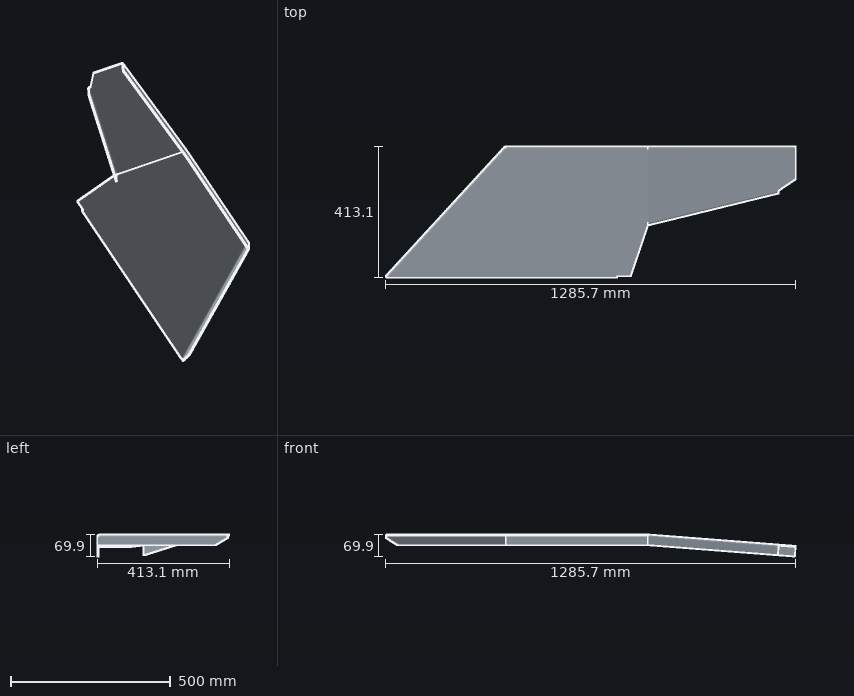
import cadquery as cq
import math

length = 1285.66
width = 413.11
height = 69.86

sheet = 4.0
bend_radius = 8.0
overrun = 100.0

back_length = 448.0
slant_angle = math.radians(47.43)
fold_width = 249.0
tail_x = -54.0
step_x = -96.5
step_depth = 4.7

end_cut_start = 11.0
end_cut_run = 53.0

tilt = math.radians(4.43)
wing_front_angle = math.radians(13.7)
tip_width = 104.0
tip_cut_length = 55.0

back_outward = (0.0, 1.0)
slant_along = (math.cos(slant_angle), math.sin(slant_angle))
slant_outward = (-slant_along[1], slant_along[0])
wing_along = (math.cos(wing_front_angle), math.sin(wing_front_angle))
wing_outward = (wing_along[1], -wing_along[0])


def shift(point, direction, distance):
    """Point moved a distance along a direction."""
    return (point[0] + direction[0] * distance, point[1] + direction[1] * distance)


def point_at_x(point, direction, x):
    """Point at a given X on the line through a point along a direction."""
    return (x, point[1] + (x - point[0]) * direction[1] / direction[0])


def point_at_y(point, direction, y):
    """Point at a given Y on the line through a point along a direction."""
    return (point[0] + (y - point[1]) * direction[0] / direction[1], y)


back_corner = (-back_length, 0.0)
bend_line_end = point_at_y(shift(back_corner, slant_outward, -bend_radius), slant_along, -width)
slant_end = shift(bend_line_end, slant_outward, bend_radius)

wing_reach = length + slant_end[0]
wing_length = wing_reach / math.cos(tilt)
flange_depth = (height - wing_reach * math.tan(tilt)) / math.cos(tilt)


def rounded_block(edge_point, outward, radius, top):
    """Large block with one straight side, rounded along the top of that side."""
    reach = 2 * length
    plane = cq.Plane(
        origin=(edge_point[0], edge_point[1], top),
        xDir=(outward[0], outward[1], 0.0),
        normal=(outward[1], -outward[0], 0.0),
    )
    return (
        cq.Workplane(plane)
        .moveTo(-reach, 0.0)
        .lineTo(-radius, 0.0)
        .radiusArc((0.0, -radius), radius)
        .lineTo(0.0, -reach)
        .lineTo(-reach, -reach)
        .close()
        .extrude(reach, both=True)
    )


def bent_shell(outline, bent_sides):
    """Sheet over an outline, bent down into a flange along the given sides."""
    body = cq.Workplane("XY").polyline(outline).close().extrude(-flange_depth)
    space = None
    for edge_point, outward in bent_sides:
        body = body.intersect(rounded_block(edge_point, outward, bend_radius, 0.0))
        inner_point = shift(edge_point, outward, -sheet)
        inside = rounded_block(inner_point, outward, bend_radius - sheet, -sheet)
        space = inside if space is None else space.intersect(inside)
    return body.cut(space)


def flange_end_cut():
    """Wedge that takes off the lower front corner of the slanted flange."""
    profile = [
        (-overrun, -end_cut_start),
        (0.0, -end_cut_start),
        (end_cut_run, -flange_depth),
        (end_cut_run, -flange_depth - overrun),
        (-overrun, -flange_depth - overrun),
    ]
    plane = cq.Plane(
        origin=(slant_end[0], slant_end[1], 0.0),
        xDir=(slant_along[0], slant_along[1], 0.0),
        normal=(-slant_outward[0], -slant_outward[1], 0.0),
    )
    return cq.Workplane(plane).polyline(profile).close().extrude(overrun, both=True)


def main_panel():
    """Flat panel with flanges along its back edge and its slanted edge."""
    outline = [
        (0.0, 0.0),
        back_corner,
        slant_end,
        bend_line_end,
        (step_x, -width),
        (step_x, -width + step_depth),
        (tail_x, -width + step_depth),
        (0.0, -fold_width),
    ]
    shell = bent_shell(outline, [(back_corner, back_outward), (back_corner, slant_outward)])
    return shell.cut(flange_end_cut())


def wing():
    """Tapered panel with flanges along its back and front edges, tilted at the fold."""
    start_x = -overrun
    fold_front = (0.0, -fold_width)
    flange_start = point_at_x(fold_front, wing_along, start_x)
    bend_line = shift(fold_front, wing_outward, -bend_radius)
    tip_bend_end = point_at_x(bend_line, wing_along, wing_length - tip_cut_length)
    flange_tip = shift(tip_bend_end, wing_outward, bend_radius)
    back_tip = (wing_length, 0.0)
    outline = [
        (start_x, 0.0),
        back_tip,
        (wing_length, -tip_width),
        tip_bend_end,
        flange_tip,
        flange_start,
    ]
    flat = bent_shell(outline, [(back_tip, back_outward), (fold_front, wing_outward)])
    tilted = flat.rotate((0, 0, 0), (0, 1, 0), math.degrees(tilt))
    beyond_fold = cq.Workplane("XY").box(length, 2 * width, 4 * height, centered=(False, True, True))
    return tilted.intersect(beyond_fold)


result = main_panel().union(wing())